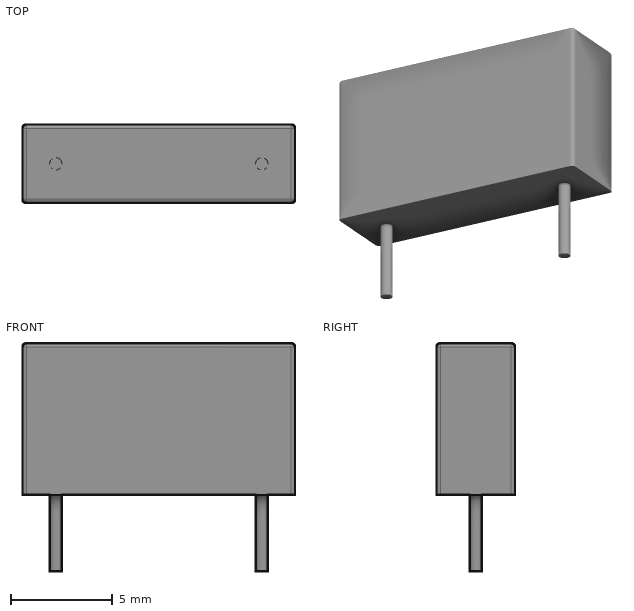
import cadquery as cq

HOUSING_LENGTH = 13.5
HOUSING_WIDTH = 3.9
HOUSING_HEIGHT = 7.5
EDGE_RADIUS = 0.2

PIN_DIAMETER = 0.61
PIN_LENGTH = 3.8
PIN_PITCH = 10.19


def make_housing():
    """Block with rounded vertical and top edges and a sharp bottom rim."""
    block = cq.Workplane("XY").box(
        HOUSING_LENGTH, HOUSING_WIDTH, HOUSING_HEIGHT, centered=(True, True, False)
    )
    return block.edges("|Z or >Z").fillet(EDGE_RADIUS)


def make_pin(x):
    """Round pin hanging from the underside of the housing at the given X."""
    return cq.Workplane("XY").center(x, 0).circle(PIN_DIAMETER / 2).extrude(-PIN_LENGTH)


housing = make_housing()
pins = [make_pin(side * PIN_PITCH / 2) for side in (-1, 1)]

result = cq.Compound.makeCompound([housing.val(), *[pin.val() for pin in pins]])